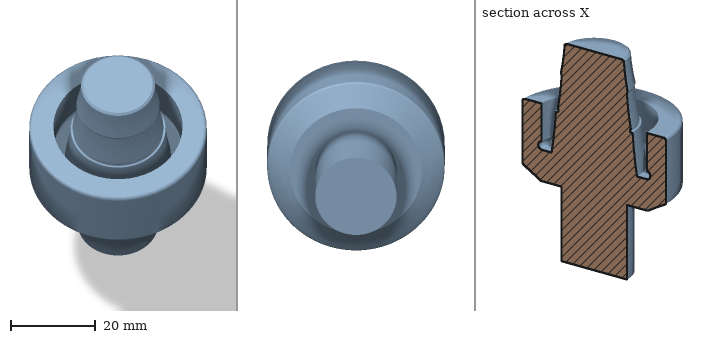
import cadquery as cq
import math

total_height = 56.2
collar_bottom_z = 19.1
collar_cone_top_z = 22.2
collar_top_z = 39.1
pocket_floor_z = 27.25
tip_edge_z = 55.75
upper_lip_z = 48.15
upper_neck_z = 47.4
lower_lip_z = 38.85
lower_shelf_z = 38.15

stem_radius = 19.2 / 2
collar_radius = 42.0 / 2
collar_bottom_radius = 31.15 / 2
pocket_radius = 30.5 / 2
spigot_foot_radius = 25.0 / 2
lower_shelf_radius = 22.5 / 2
lower_lip_radius = 21.45 / 2
lower_neck_radius = 21.0 / 2
upper_lip_radius = 19.6 / 2
tip_edge_radius = 17.4 / 2
tip_face_radius = 16.35 / 2

edge_round = 0.85
undercut_radius = 1.0
flare_sag = 0.14


def flare_midpoint(top, bottom):
    """Middle of a flare arc, bowed towards the axis by flare_sag."""
    run = bottom[0] - top[0]
    drop = top[1] - bottom[1]
    chord = math.hypot(run, drop)
    return (
        (top[0] + bottom[0]) / 2 - flare_sag * drop / chord,
        (top[1] + bottom[1]) / 2 - flare_sag * run / chord,
    )


def make_collar():
    """Solid collar with a conical underside and rounded outer edges."""
    outline = (
        cq.Workplane("XZ")
        .moveTo(0, collar_bottom_z)
        .lineTo(collar_bottom_radius, collar_bottom_z)
        .lineTo(collar_radius, collar_cone_top_z)
        .lineTo(collar_radius, collar_top_z)
        .lineTo(0, collar_top_z)
        .close()
    )
    collar = outline.revolve(360, (0, 0, 0), (0, 1, 0))
    rim = cq.selectors.RadiusNthSelector(-1)
    return collar.edges(rim).fillet(edge_round)


def make_pocket():
    """Round pocket whose wall has a half-round undercut meeting the floor."""
    undercut_mid_z = pocket_floor_z + undercut_radius
    undercut_top_z = pocket_floor_z + 2 * undercut_radius
    return (
        cq.Workplane("XZ")
        .moveTo(0, pocket_floor_z)
        .lineTo(pocket_radius, pocket_floor_z)
        .threePointArc((pocket_radius + undercut_radius, undercut_mid_z), (pocket_radius, undercut_top_z))
        .lineTo(pocket_radius, collar_top_z)
        .lineTo(0, collar_top_z)
        .close()
        .revolve(360, (0, 0, 0), (0, 1, 0))
    )


def make_spigot():
    """Stepped spigot with three flared stages separated by small round grooves."""
    tip_edge = (tip_edge_radius, tip_edge_z)
    upper_lip = (upper_lip_radius, upper_lip_z)
    upper_neck = (stem_radius, upper_neck_z)
    lower_lip = (lower_lip_radius, lower_lip_z)
    lower_shelf = (lower_shelf_radius, lower_shelf_z)
    foot = (spigot_foot_radius, pocket_floor_z)
    upper_groove_mid = (stem_radius, (upper_lip_z + upper_neck_z) / 2)
    lower_groove_mid = (lower_neck_radius, (lower_lip_z + lower_shelf_z) / 2)
    return (
        cq.Workplane("XZ")
        .moveTo(0, total_height)
        .lineTo(tip_face_radius, total_height)
        .lineTo(*tip_edge)
        .threePointArc(flare_midpoint(tip_edge, upper_lip), upper_lip)
        .threePointArc(upper_groove_mid, upper_neck)
        .threePointArc(flare_midpoint(upper_neck, lower_lip), lower_lip)
        .threePointArc(lower_groove_mid, lower_shelf)
        .threePointArc(flare_midpoint(lower_shelf, foot), foot)
        .lineTo(0, pocket_floor_z)
        .close()
        .revolve(360, (0, 0, 0), (0, 1, 0))
    )


stem = cq.Workplane("XY").circle(stem_radius).extrude(collar_bottom_z)
result = make_collar().cut(make_pocket()).union(make_spigot()).union(stem)